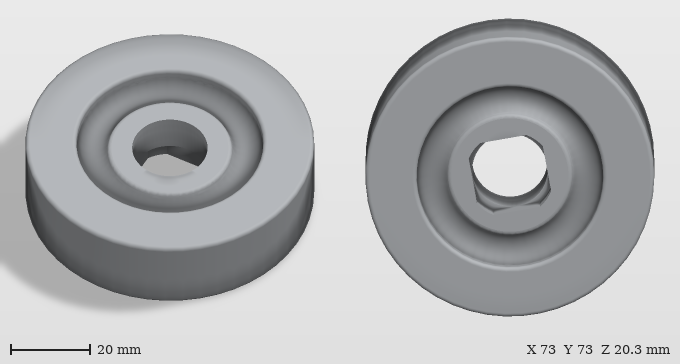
import cadquery as cq
import math

wheel_diameter = 73.0
wheel_width = 20.3
hub_diameter = 57.7
edge_radius = 1.0

groove_inner_radius = 15.7
groove_outer_radius = 23.6
groove_depth = 6.5

boss_setback = 2.6

bore_diameter = 19.05
bore_length = 10.1
drive_corner_diameter = 22.5

plane_tolerance = 0.01

half_width = wheel_width / 2
wheel_radius = wheel_diameter / 2
hub_radius = hub_diameter / 2
boss_half_height = half_width - boss_setback
groove_radius = (groove_outer_radius - groove_inner_radius) / 2
groove_center_radius = groove_inner_radius + groove_radius
groove_center_z = half_width - groove_depth + groove_radius


def full_width_cylinder(radius):
    """Cylinder from the bottom face of the wheel to its top face."""
    return cq.Workplane("XY").workplane(offset=-half_width).circle(radius).extrude(wheel_width)


def make_tread():
    """Plain ring with rounded outer rims."""
    rims = cq.selectors.RadiusNthSelector(-1)
    tread = full_width_cylinder(wheel_radius).edges("%CIRCLE").edges(rims).fillet(edge_radius)
    return tread.cut(full_width_cylinder(hub_radius))


def face_recess():
    """Material removed from the top face of the hub: the setback over the boss, and the groove."""
    rise = boss_half_height - groove_center_z
    boss_radius = groove_center_radius - math.sqrt(groove_radius**2 - rise**2)
    return (
        cq.Workplane("XZ")
        .moveTo(0, half_width)
        .lineTo(0, boss_half_height)
        .lineTo(boss_radius, boss_half_height)
        .threePointArc(
            (groove_center_radius, half_width - groove_depth),
            (groove_outer_radius, groove_center_z),
        )
        .lineTo(groove_outer_radius, half_width)
        .close()
        .revolve(360, (0, 0, 0), (0, 1, 0))
    )


def round_inner_edge(hub, height):
    """Round the smallest circular edge that lies in the plane at the given height."""
    thin_slab = cq.selectors.BoxSelector(
        (-wheel_radius, -wheel_radius, height - plane_tolerance),
        (wheel_radius, wheel_radius, height + plane_tolerance),
        boundingbox=True,
    )
    smallest = cq.selectors.RadiusNthSelector(0)
    return hub.edges(thin_slab).edges(smallest).fillet(edge_radius)


def drive_recess():
    """Square with rounded corners, open at the bottom face and ending at the bore above it."""
    roof_height = boss_half_height - bore_length
    depth = roof_height + half_width
    base = cq.Workplane("XY").workplane(offset=-half_width)
    square = base.rect(bore_diameter, bore_diameter).extrude(depth)
    corner_limit = base.circle(drive_corner_diameter / 2).extrude(depth)
    return square.intersect(corner_limit)


def make_hub():
    """Cylinder with grooved faces, a bore and a drive recess."""
    hub = full_width_cylinder(hub_radius)
    top_recess = face_recess()
    hub = hub.cut(top_recess).cut(top_recess.mirror("XY"))
    for height in (half_width, boss_half_height):
        hub = round_inner_edge(hub, height)
        hub = round_inner_edge(hub, -height)
    return hub.cut(full_width_cylinder(bore_diameter / 2)).cut(drive_recess())


hub = make_hub()
tread = make_tread()
result = cq.Compound.makeCompound([hub.val(), tread.val()])